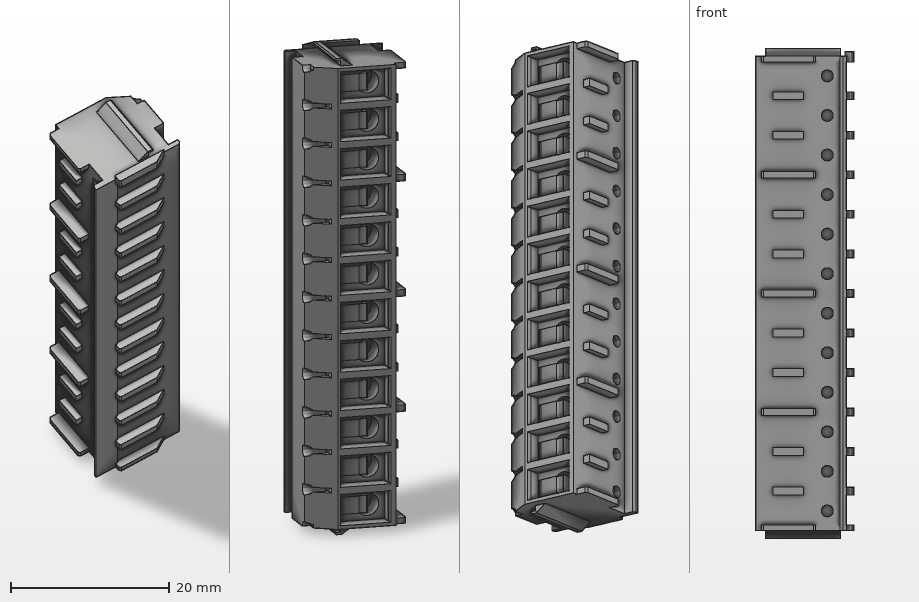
import cadquery as cq


overall_length = 62.0
pole_count = 12
body_length = 60.0
pitch = body_length / pole_count
body_width = 11.5
back_y = 11.5
front_reach = 1.55
slope_start_y = 7.7
slope_end_x = 2.2
back_groove_start_x = 7.45
back_groove_end_x = 10.6
back_groove_y = 10.05
back_flange_right_x = 11.3
back_flange_chamfer = 0.25
side_step_y = 1.7
front_flange_x = 10.65
front_flange_bevel_x = 0.4
front_flange_bevel_y = 0.25

long_rib_x = 0.75
long_rib_length = 6.8
long_rib_chamfer = 0.25
end_rib_height = 0.75
middle_rib_height = 0.85
short_rib_x = 2.2
short_rib_length = 3.85
short_rib_reach = 0.9
short_rib_height = 1.0
poles_per_group = 3

overall_width = 12.4
lug_bottom_y = 1.4
lug_slope_start_y = 7.05
lug_top_y = 8.9
lug_height = 1.0
end_lug_depth = 0.75
end_lug_rise = 0.55
lug_chamfer = 0.25

pocket_front_y = 0.7
pocket_back_y = 7.3
pocket_height = 4.1
pocket_depth = 2.1
pocket_mouth_depth = 0.75
pocket_mouth_front_step = 0.2
pocket_mouth_back_step = 0.05
entry_hole_y = 3.15
entry_hole_radius = 1.5
entry_hole_depth = 3.1

contact_height = 2.25
contact_crest_y = 4.3
contact_valley_y = 3.85
contact_tip_y = entry_hole_y
contact_back_y = 7.1
contact_bend_y = 6.75
contact_bend_drop = 0.25
contact_plate_drop = 0.05
contact_valley_drop = 0.2
contact_tip_rise = 0.1

test_hole_x = 9.05
test_hole_diameter = 1.5
test_hole_depth = 1.25

release_x = 2.3
release_radius = 0.75
end_notch_depth = 1.05
release_depth = 3.05
release_slot_height = 0.6

hook_rise = (overall_length - body_length) / 2
hook_x = 1.25
hook_length = 9.5
hook_root_front_y = 5.4
hook_root_back_y = 6.95
hook_crest_y = 6.8
hook_tip_y = 7.7
hook_lip_y = 7.5
hook_lip_thickness = 0.25
hook_underside_z = 0.7


def block(x, y, z, size_x, size_y, size_z):
    return cq.Workplane("XY").box(size_x, size_y, size_z, centered=False).translate((x, y, z))


def prism(points, z, height):
    return cq.Workplane("XY").polyline(points).close().extrude(height).translate((0, 0, z))


def housing():
    outline = [
        (0, 0),
        (0, slope_start_y),
        (slope_end_x, back_y),
        (back_groove_start_x, back_y),
        (back_groove_start_x, back_groove_y),
        (back_groove_end_x, back_groove_y),
        (back_groove_end_x, back_y),
        (back_flange_right_x - back_flange_chamfer, back_y),
        (back_flange_right_x, back_y - back_flange_chamfer),
        (back_flange_right_x, side_step_y),
        (body_width, side_step_y),
        (body_width, -front_reach),
        (front_flange_x + front_flange_bevel_x, -front_reach),
        (front_flange_x, front_flange_bevel_y - front_reach),
        (front_flange_x, 0),
    ]
    return prism(outline, 0, body_length)


def long_rib(z, height):
    right_x = long_rib_x + long_rib_length
    outline = [
        (long_rib_x, 0),
        (long_rib_x, long_rib_chamfer - front_reach),
        (long_rib_x + long_rib_chamfer, -front_reach),
        (right_x - long_rib_chamfer, -front_reach),
        (right_x, long_rib_chamfer - front_reach),
        (right_x, 0),
    ]
    return prism(outline, z, height)


def short_rib(z):
    return block(
        short_rib_x, -short_rib_reach, z - short_rib_height / 2,
        short_rib_length, short_rib_reach, short_rib_height,
    )


def lug(z, height):
    outline = [
        (back_flange_right_x, lug_bottom_y),
        (overall_width - lug_chamfer, lug_bottom_y),
        (overall_width, lug_bottom_y + lug_chamfer),
        (overall_width, lug_slope_start_y),
        (back_flange_right_x, lug_top_y),
    ]
    return prism(outline, z, height)


def pocket():
    """Stepped pocket, centred on Z = 0."""
    bottom_z = -pocket_height / 2
    width = pocket_back_y - pocket_front_y
    mouth = block(0, pocket_front_y, bottom_z, pocket_mouth_depth, width, pocket_height)
    inner = block(
        0, pocket_front_y + pocket_mouth_front_step, bottom_z,
        pocket_depth, width - pocket_mouth_front_step - pocket_mouth_back_step, pocket_height,
    )
    return mouth.union(inner)


def entry_hole():
    """Round wire hole below the pocket floor, partly filled by the contact."""
    return (
        cq.Workplane("YZ", origin=(pocket_depth, 0, 0))
        .center(entry_hole_y, 0)
        .circle(entry_hole_radius)
        .extrude(entry_hole_depth)
        .cut(contact_end())
    )


def contact_recess():
    """Space above the contact: a short bend at the back, then a slightly tilted plate."""
    outline = [
        (pocket_mouth_depth, contact_back_y),
        (pocket_depth + contact_bend_drop, contact_back_y),
        (pocket_depth + contact_plate_drop, contact_bend_y),
        (pocket_depth, contact_crest_y),
        (pocket_mouth_depth, contact_crest_y),
    ]
    return prism(outline, -contact_height / 2, contact_height)


def contact_end():
    """Plate of the contact running into the wire hole and ending in a hollow curve."""
    hole_bottom_x = pocket_depth + entry_hole_depth
    return (
        cq.Workplane("XY", origin=(0, 0, -contact_height / 2))
        .moveTo(hole_bottom_x, contact_bend_y)
        .lineTo(pocket_depth + contact_plate_drop, contact_bend_y)
        .lineTo(pocket_depth, contact_crest_y)
        .threePointArc(
            (pocket_depth + contact_valley_drop, contact_valley_y),
            (pocket_depth - contact_tip_rise, contact_tip_y),
        )
        .lineTo(hole_bottom_x, contact_tip_y)
        .close()
        .extrude(contact_height)
    )


def test_hole(z):
    return (
        cq.Workplane("XZ")
        .center(test_hole_x, z)
        .circle(test_hole_diameter / 2)
        .extrude(-test_hole_depth)
    )


def release_bore(z, depth):
    """Round bore along Y from the back edge, opened by the sloped wall."""
    return (
        cq.Workplane("XZ", origin=(0, back_y, 0))
        .center(release_x, z)
        .circle(release_radius)
        .extrude(depth)
    )


def release_slot(z):
    """Narrow slot from the sloped wall into the bore."""
    return block(
        0, back_y - release_depth, z - release_slot_height / 2,
        release_x, release_depth, release_slot_height,
    )


def end_hook():
    """Hook on the upper end, leaning toward the back."""
    outline = [
        (hook_root_front_y, 0),
        (hook_crest_y, hook_rise),
        (hook_lip_y, hook_rise),
        (hook_tip_y, hook_rise - hook_lip_thickness),
        (hook_lip_y, hook_underside_z),
        (hook_root_back_y, hook_underside_z),
        (hook_root_back_y, 0),
    ]
    return (
        cq.Workplane("YZ", origin=(hook_x, 0, body_length))
        .polyline(outline)
        .close()
        .extrude(hook_length)
    )


def gather(parts):
    """Collect separate solids so that they are joined or cut in one step."""
    collection = cq.Workplane("XY")
    for part in parts:
        collection = collection.add(part)
    return collection


boundaries = [number * pitch for number in range(1, pole_count)]
group_boundaries = boundaries[poles_per_group - 1::poles_per_group]
inner_boundaries = [z for z in boundaries if z not in group_boundaries]
pole_centres = [(number + 0.5) * pitch for number in range(pole_count)]

long_ribs = [long_rib(z - middle_rib_height / 2, middle_rib_height) for z in group_boundaries]
long_ribs.append(long_rib(0, end_rib_height))
long_ribs.append(long_rib(body_length - end_rib_height, end_rib_height))
short_ribs = [short_rib(z) for z in inner_boundaries]

lugs = [lug(z - lug_height / 2, lug_height) for z in boundaries]
lugs.append(lug(0, end_lug_depth))
lugs.append(lug(body_length - end_lug_depth, end_lug_depth + end_lug_rise))

upper_hook = end_hook()
lower_hook = upper_hook.mirror("XY", (0, 0, body_length / 2))

result = housing().union(gather(long_ribs + short_ribs + lugs + [upper_hook, lower_hook]))

release_bores = [release_bore(z, release_depth) for z in boundaries]
end_notches = [release_bore(z, end_notch_depth) for z in (0, body_length)]
result = result.cut(gather(release_bores + end_notches))
result = result.cut(gather([release_slot(z) for z in boundaries]))

pole_cavity = pocket().union(entry_hole()).union(contact_recess())
result = result.cut(gather([pole_cavity.translate((0, 0, z)) for z in pole_centres]))
result = result.cut(gather([test_hole(z) for z in pole_centres]))